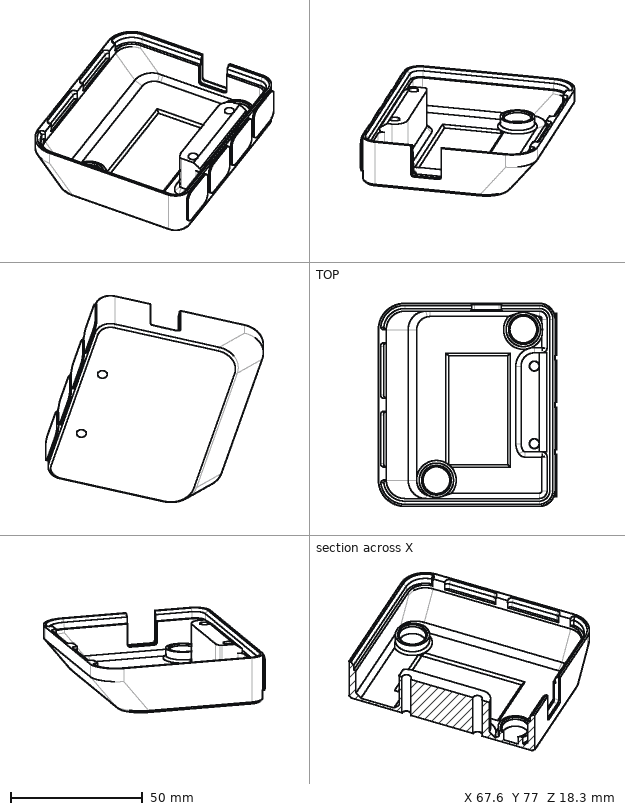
import cadquery as cq
import math

body_length = 67.0
body_width = 77.0
body_height = 18.3
slope_end_radius = 10.0
blunt_end_radius = 6.0
slope_run = 10.0
slope_top = 13.3
base_chamfer = 1.0

wall = 3.0
floor_top = 1.55
floor_chamfer = 2.0
ledge_height = 14.7
groove_wall = 2.0
rim_width = 0.85

tab_width = 4.85
tab_pitch = 26.0
tab_root_radius = 1.4

notch_start = 35.35
notch_end = 46.7
notch_bottom = 5.85
notch_radius = 1.0
notch_bevel_depth = 0.6
notch_bevel_spread = 0.3

screw_diameter = 3.6
screw_x = 59.1
screw_offset = 14.7
block_radius = 5.0
block_side = -17.8
block_back = 63.75
block_back_drop = 1.9
block_edge_radius = 0.8
block_wall_fillet = 2.0

ring_diameter = 13.0
ring_bore = 10.2
ring_height = 4.0
ring_flare = 1.0
ring_bore_chamfer = 0.55
ring_centres = [(55.0, 28.6), (22.0, -28.6)]

recess_x = (25.65, 50.05)
recess_y = (-23.65, 19.6)
recess_depth = 1.0

pad_count = 4
pad_pitch = 17.9
pad_width = 16.0
pad_bottom = 3.4
pad_top = 17.6
pad_height = 0.6
pad_radius = 3.1


def outline(z, start, inset):
    """Tray outline at height z: X from start to the blunt end, all moved inwards by inset."""
    left = start + inset
    right = body_length - inset
    side = body_width / 2 - inset
    big = slope_end_radius - inset
    small = blunt_end_radius - inset
    diagonal = math.sqrt(0.5)
    big_mid = big * (1 - diagonal)
    small_mid = small * (1 - diagonal)
    return (
        cq.Workplane("XY", origin=(0, 0, z))
        .moveTo(left + big, -side)
        .lineTo(right - small, -side)
        .threePointArc((right - small_mid, -side + small_mid), (right, -side + small))
        .lineTo(right, side - small)
        .threePointArc((right - small_mid, side - small_mid), (right - small, side))
        .lineTo(left + big, side)
        .threePointArc((left + big_mid, side - big_mid), (left, side - big))
        .lineTo(left, -side + big)
        .threePointArc((left + big_mid, -side + big_mid), (left + big, -side))
        .close()
    )


def between(lower, upper):
    """Ruled solid between two closed outlines."""
    wires = [lower.wires().val(), upper.wires().val()]
    return cq.Workplane(cq.Solid.makeLoft(wires, True))


def slope_start(z):
    """X of the sloped end wall at height z."""
    return slope_run * (slope_top - z) / (slope_top - base_chamfer)


def make_shell():
    """Solid outer body: chamfered base, sloped end and upright rim band."""
    base = between(outline(0, slope_run, base_chamfer), outline(base_chamfer, slope_run, 0))
    sloped = between(outline(base_chamfer, slope_run, 0), outline(slope_top, 0, 0))
    upper = outline(slope_top, 0, 0).extrude(body_height - slope_top)
    return base.union(sloped).union(upper)


def make_block(height):
    """Screw block: a rounded strip, cut flat on one side and run into the blunt end wall."""
    inner_wall = body_length - wall
    front = screw_x - block_radius
    top_side = screw_offset + block_radius
    arc_mid = block_radius * math.sqrt(0.5)
    flat_drop = -screw_offset - block_side
    flat_x = screw_x - math.sqrt(block_radius**2 - flat_drop**2)
    half_angle = math.pi + math.asin(flat_drop / block_radius) / 2
    flat_mid = (
        screw_x + block_radius * math.cos(half_angle),
        -screw_offset + block_radius * math.sin(half_angle),
    )
    strip = (
        cq.Workplane("XY")
        .moveTo(inner_wall + wall / 2, top_side)
        .lineTo(screw_x, top_side)
        .threePointArc((screw_x - arc_mid, screw_offset + arc_mid), (front, screw_offset))
        .lineTo(front, -screw_offset)
        .threePointArc(flat_mid, (flat_x, block_side))
        .lineTo(inner_wall + wall / 2, block_side)
        .close()
        .extrude(height)
    )
    corner = cq.selectors.NearestToPointSelector((flat_x, block_side, height / 2))
    return strip.edges(corner).fillet(block_edge_radius)


def make_block_head():
    """Top of the screw block above the ledge, sloping down behind the screw holes."""
    ridge = screw_x + screw_diameter / 2
    side_profile = (
        cq.Workplane("XZ")
        .moveTo(screw_x - block_radius, ledge_height)
        .lineTo(screw_x - block_radius, body_height)
        .lineTo(ridge, body_height)
        .lineTo(block_back, body_height - block_back_drop)
        .lineTo(block_back, ledge_height)
        .close()
        .extrude(body_width / 2, both=True)
    )
    return make_block(body_height).intersect(side_profile)


def make_cavity():
    """Space inside the walls around the screw block, with the floor edges chamfered."""
    sloped = between(outline(floor_top, slope_start(floor_top), wall), outline(slope_top, 0, wall))
    upper = outline(slope_top, 0, wall).extrude(body_height - slope_top)
    cavity = sloped.union(upper).cut(make_block(ledge_height))
    for y in (block_side, screw_offset + block_radius):
        corner = cq.selectors.NearestToPointSelector((body_length - wall, y, ledge_height / 2))
        cavity = cavity.edges(corner).fillet(block_wall_fillet)
    return cavity.faces("<Z").edges().chamfer(floor_chamfer)


def tab_outline(y, z, root):
    """Outline of a tab centred at y that spreads with rounded corners where it meets X = root."""
    side = tab_width / 2
    spread = side + tab_root_radius
    end = root + tab_root_radius
    mid = tab_root_radius * (1 - math.sqrt(0.5))
    return (
        cq.Workplane("XY", origin=(0, y, z))
        .moveTo(0, -spread)
        .lineTo(root, -spread)
        .threePointArc((root + mid, -side - mid), (end, -side))
        .lineTo(2 * wall, -side)
        .lineTo(2 * wall, side)
        .lineTo(end, side)
        .threePointArc((root + mid, side + mid), (root, spread))
        .lineTo(0, spread)
        .close()
    )


def make_groove():
    """Stepped groove inside the rim, interrupted by tabs on the sloped end."""
    bevel_bottom = body_height - (groove_wall - rim_width)
    step = outline(ledge_height, 0, groove_wall).extrude(bevel_bottom - ledge_height)
    bevel = between(outline(bevel_bottom, 0, groove_wall), outline(body_height, 0, rim_width))
    groove = step.union(bevel)
    for index in (-1, 0, 1):
        y = index * tab_pitch
        lower = tab_outline(y, ledge_height, groove_wall).extrude(bevel_bottom - ledge_height)
        upper = between(tab_outline(y, bevel_bottom, groove_wall), tab_outline(y, body_height, rim_width))
        groove = groove.cut(lower).cut(upper)
    return groove


def make_notch():
    """Open notch in the +Y wall with rounded lower corners, bevelled on both faces of the wall."""
    width = notch_end - notch_start
    middle = (notch_start + notch_end) / 2
    depth = body_height - notch_bottom

    def section(y, spread):
        plane = cq.Workplane("XZ", origin=(middle, y, body_height))
        slab = plane.rect(width + 2 * spread, 2 * (depth + spread)).extrude(wall)
        return slab.edges("|Y").fillet(notch_radius + spread)

    outer_face = body_width / 2
    inner_face = outer_face - wall
    opening = section(outer_face, 0)
    for face, inward in ((outer_face, -1), (inner_face, 1)):
        plain = section(face + inward * notch_bevel_depth, 0)
        flared = section(face, notch_bevel_spread)
        opening = opening.union(between(plain.faces(">Y"), flared.faces(">Y")))
    return opening


def make_ring(x, y):
    """Ring boss with a flared foot, rooted as deep as the recess it may overlap."""
    outer = ring_diameter / 2
    bottom = floor_top - recess_depth
    top = floor_top + ring_height
    profile = (
        cq.Workplane("XZ", origin=(x, y, 0))
        .moveTo(0, bottom)
        .lineTo(outer + ring_flare, bottom)
        .lineTo(outer + ring_flare, floor_top)
        .lineTo(outer, floor_top + ring_flare)
        .lineTo(outer, top)
        .lineTo(0, top)
        .close()
    )
    return profile.revolve(360, (0, 0, 0), (0, 1, 0))


def make_ring_bore(x, y):
    """Flat-bottomed bore of a ring boss, chamfered at its mouth."""
    radius = ring_bore / 2
    bore = cq.Workplane("XY", origin=(x, y, floor_top)).circle(radius).extrude(ring_height)
    mouth = cq.Solid.makeCone(
        radius,
        radius + ring_bore_chamfer,
        ring_bore_chamfer,
        cq.Vector(x, y, floor_top + ring_height - ring_bore_chamfer),
    )
    return bore.union(cq.Workplane(mouth))


def make_recess():
    """Rectangular floor recess with sides sloping at 45 degrees."""
    length = recess_x[1] - recess_x[0]
    width = recess_y[1] - recess_y[0]
    centre = (sum(recess_x) / 2, sum(recess_y) / 2, floor_top)
    opening = cq.Workplane("XY", origin=centre).rect(length, width)
    return opening.extrude(-recess_depth, taper=45)


def make_pads():
    """Row of raised pads on the blunt end."""
    pads = (
        cq.Workplane("YZ", origin=(body_length, 0, (pad_bottom + pad_top) / 2))
        .rarray(pad_pitch, 0.8, pad_count, 1)
        .rect(pad_width, pad_top - pad_bottom)
        .extrude(pad_height)
    )
    return pads.edges("|X").fillet(pad_radius)


def make_screw_holes():
    """Screw holes through the block and the floor."""
    return (
        cq.Workplane("XY")
        .pushPoints([(screw_x, -screw_offset), (screw_x, screw_offset)])
        .circle(screw_diameter / 2)
        .extrude(body_height)
    )


result = make_shell().cut(make_cavity()).cut(make_groove()).cut(make_recess())
result = result.union(make_block_head())
for ring_x, ring_y in ring_centres:
    result = result.union(make_ring(ring_x, ring_y)).cut(make_ring_bore(ring_x, ring_y))
result = result.cut(make_screw_holes()).cut(make_notch()).union(make_pads())